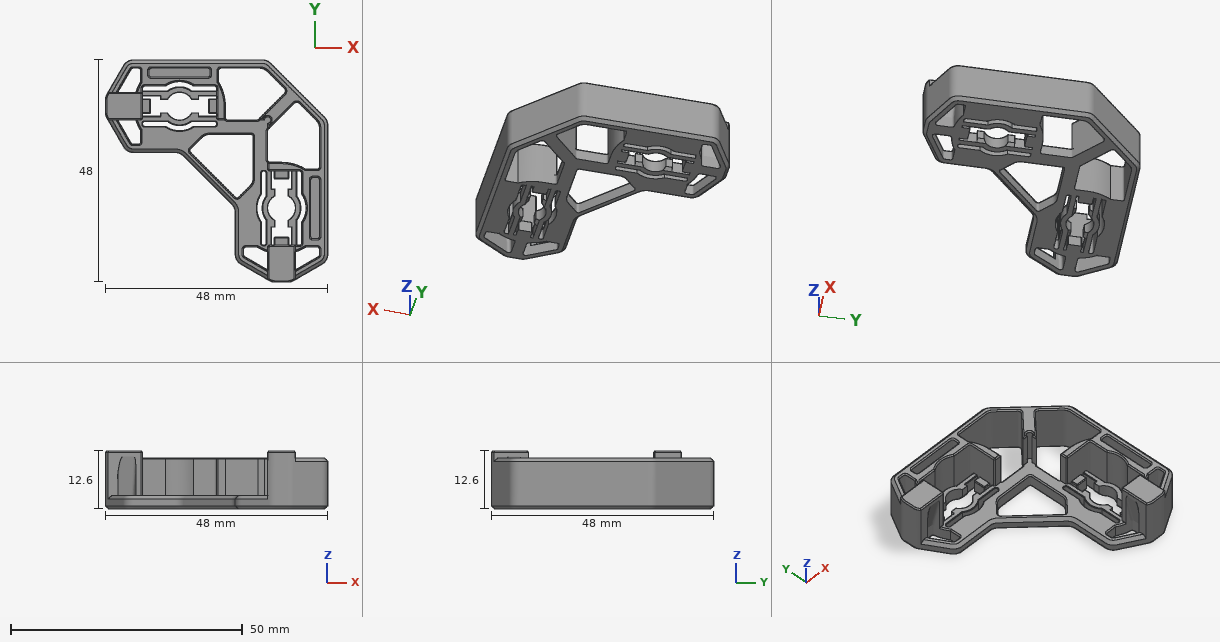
import cadquery as cq
import math

SPAN = 48.0
HALF = SPAN / 2
DECK_TOP = 3.0
WALL_TOP = 11.1
POST_TOP = 12.6

ARM_WIDTH = 20.0
ARM_INNER_Y = HALF - ARM_WIDTH
TIP_FLAT = 4.0
TIP_SLOPE = math.radians(60)
OUTER_BEVEL = 13.1
INNER_CORNER_X = -7.9
OUTLINE_RADIUS = 2.5

OUTER_CHAMFER = 0.75
INNER_CHAMFER = 0.3

SEAT_X = -8.0
SEAT_Y = HALF - ARM_WIDTH / 2
SEAT_LENGTH = 16.0
SEAT_LEFT = SEAT_X - SEAT_LENGTH / 2
SEAT_RIGHT = SEAT_X + SEAT_LENGTH / 2
SEAT_REACH = 4.35
SEAT_BULGE_RADIUS = 5.3
SEAT_CORNER_RADIUS = 0.5

CLEAR_EDGE = 11.0
RELIEF_RADIUS = 0.7

STRIP_INNER = 2.15
STRIP_OUTER = 3.3
STRIP_BULGE_RADIUS = 4.2
SLOT_OUTER = SEAT_REACH
SLOT_BULGE_RADIUS = SEAT_BULGE_RADIUS
SLOT_CORNER_RADIUS = 0.45
SLOT_CHAMFER = 0.15
NECK_HALF_WIDTH = 1.45
NECK_HALF_LENGTH = 4.1
BORE_RADIUS = 3.0

TAB_LENGTH = 1.75
TAB_WIDTH = 3.2
TAB_TOP = DECK_TOP
TAB_CHAMFER = 0.2

WALL = 1.8
BEVEL_WALL = 1.73
OPENING_RADIUS = 0.5
OPENING_BEVEL_RADIUS = 2.5
END_WALL_RADIUS = 9.9
OPENING_OFFSET = 8.4
RIB_WIDTH = 3.0
RIB_RADIUS = 0.8

WINDOW_EDGE = 7.9
WINDOW_BEVEL = 10.4
WINDOW_SIDE_SUM = -1.6
WINDOW_BEVEL_RADIUS = 2.5

POCKET_LENGTH = 13.2
POCKET_WIDTH = 1.9

POST_WIDTH = 6.0
HOLLOW_TOP = 11.3
HOLLOW_DEPTH = 1.7
HOLLOW_RADIUS = 0.6
HOLLOW_START = DECK_TOP

CUT_MARGIN = 2.0
SAME_PLACE = 0.05


def prism(points, bottom, top):
    return cq.Workplane("XY").workplane(offset=bottom).polyline(points).close().extrude(top - bottom)


def box(x0, x1, y0, y1, z0, z1):
    return cq.Workplane("XY").box(x1 - x0, y1 - y0, z1 - z0, centered=False).translate((x0, y0, z0))


def disc(x, y, radius, bottom, top):
    return cq.Workplane("XY").workplane(offset=bottom).center(x, y).circle(radius).extrude(top - bottom)


def with_mirror(body):
    """A body of the arm along X together with its twin in the arm along Y."""
    return body.union(body.mirror((1, -1, 0)))


def flared(cutter, level, width):
    """An upright cutter widened at 45 degrees just below `level`, which chamfers the rim it leaves."""
    rise = cq.Vector(0, 0, width)
    body = cutter
    for face in cutter.faces("<Z").vals():
        start = face.moved(cq.Location((0, 0, level - width - face.Center().z)))
        body = body.union(cq.Workplane(cq.Solid.extrudeLinear(start.outerWire(), [], rise, -45)))
    return body


def outline_prism(top):
    """The L-shaped outline with rounded corners, from Z = 0 up to `top`."""
    slope_run = (ARM_WIDTH - TIP_FLAT) / 2 / math.tan(TIP_SLOPE)
    shoulder_x = slope_run - HALF
    half_outline = [
        (INNER_CORNER_X, ARM_INNER_Y),
        (shoulder_x, ARM_INNER_Y),
        (-HALF, SEAT_Y - TIP_FLAT / 2),
        (-HALF, SEAT_Y + TIP_FLAT / 2),
        (shoulder_x, HALF),
        (HALF - OUTER_BEVEL, HALF),
    ]
    other_half = [(y, x) for x, y in half_outline]
    points = half_outline[::-1] + other_half
    return prism(points, 0, top).edges("|Z").fillet(OUTLINE_RADIUS)


def bevelled_frame(top):
    """The outline as a plate with its outer edges chamfered above and below."""
    return outline_prism(top).faces("<Z or >Z").edges().chamfer(OUTER_CHAMFER)


def round_corners(body, radius, sharp_points):
    """Round the vertical edges of a body, except those standing at the given points."""

    def is_rounded(edge):
        place = edge.Center()
        return all(math.hypot(place.x - x, place.y - y) > SAME_PLACE for x, y in sharp_points)

    return body.edges("|Z").filter(is_rounded).fillet(radius)


def round_corners_at(body, radius, point):
    """Round the one vertical edge that stands nearest to a point."""
    selector = cq.selectors.NearestToPointSelector((point[0], point[1], WALL_TOP / 2))
    return body.edges("|Z").edges(selector).fillet(radius)


def end_wall_kink(side):
    """Where the round end wall of the seat meets the straight side of an opening."""
    rise = math.sqrt(END_WALL_RADIUS**2 - OPENING_OFFSET**2)
    return SEAT_X + side * OPENING_OFFSET, SEAT_Y + rise


def bevel_opening(bottom_y):
    """The opening between seat, outer bevel and diagonal rib."""
    rib_offset = RIB_WIDTH / math.sqrt(2)
    wall_sum = 2 * HALF - OUTER_BEVEL - BEVEL_WALL * math.sqrt(2)
    top_y = HALF - WALL
    left_x = SEAT_X + OPENING_OFFSET
    bevel_corner = (wall_sum - top_y, top_y)
    rib_corner = ((wall_sum - rib_offset) / 2, (wall_sum + rib_offset) / 2)
    points = [
        (left_x, bottom_y),
        (left_x, top_y),
        bevel_corner,
        rib_corner,
        (bottom_y - rib_offset, bottom_y),
    ]
    wall_x = SEAT_X + END_WALL_RADIUS
    body = prism(points, 0, WALL_TOP)
    body = body.cut(disc(SEAT_X, SEAT_Y, END_WALL_RADIUS, 0, WALL_TOP))
    body = body.cut(box(SEAT_X, wall_x, bottom_y, SEAT_Y, 0, WALL_TOP))
    sharp = [end_wall_kink(1), (wall_x, SEAT_Y), bevel_corner, rib_corner]
    body = round_corners(body, OPENING_RADIUS, sharp)
    body = round_corners_at(body, OPENING_BEVEL_RADIUS, bevel_corner)
    return round_corners_at(body, RIB_RADIUS, rib_corner)


def tip_opening_raw(top):
    """The upper opening beside the end post, with its end inside the post still sharp."""
    end_y = SEAT_Y + POST_WIDTH / 2 - HOLLOW_DEPTH
    top_y = HALF - WALL
    wall_shift = WALL / math.sin(TIP_SLOPE)
    right_x = SEAT_X - OPENING_OFFSET

    def slope_x(y):
        return -HALF + wall_shift + (y - SEAT_Y - TIP_FLAT / 2) / math.tan(TIP_SLOPE)

    points = [
        (slope_x(end_y), end_y),
        (slope_x(top_y), top_y),
        (right_x, top_y),
        (right_x, end_y),
    ]
    return prism(points, 0, top).cut(disc(SEAT_X, SEAT_Y, END_WALL_RADIUS, 0, top))


def across_arm(body):
    """Mirror a body across the centre line of the arm along X."""
    return body.mirror("XZ", (0, SEAT_Y, 0))


def tip_openings(level):
    """Both openings beside the end post, with their rims chamfered at `level`."""
    upper = round_corners(tip_opening_raw(level), OPENING_RADIUS, [end_wall_kink(-1)])
    upper = flared(upper, level, INNER_CHAMFER)
    return upper.union(across_arm(upper))


def post_hollows():
    """Pockets in both sides of the post: upright up to the deck, then fading out towards the top."""
    face_y = SEAT_Y + POST_WIDTH / 2
    deep_y = face_y - HOLLOW_DEPTH
    slope = HOLLOW_DEPTH / (HOLLOW_TOP - HOLLOW_START)
    top_y = deep_y + slope * (POST_TOP - HOLLOW_START)
    roof = (
        cq.Workplane("YZ", origin=(-HALF, 0, 0))
        .polyline([(deep_y, HOLLOW_START), (top_y, POST_TOP), (deep_y, POST_TOP)])
        .close()
        .extrude(HALF)
    )
    hollow = tip_opening_raw(POST_TOP).cut(roof)

    def is_side_of_end(edge):
        ends = [edge.startPoint(), edge.endPoint()]
        is_on_end = max(point.y for point in ends) < top_y + SAME_PLACE
        is_rising = abs(ends[0].z - ends[1].z) > SAME_PLACE
        return is_on_end and is_rising

    hollow = hollow.edges().filter(is_side_of_end).fillet(HOLLOW_RADIUS)
    return hollow.union(across_arm(hollow))


def window():
    """The five-sided opening in the deck between the two arms."""
    bevel_start = WINDOW_EDGE - WINDOW_BEVEL
    side_x = (WINDOW_SIDE_SUM - WINDOW_BEVEL) / 2
    side_y = (WINDOW_SIDE_SUM + WINDOW_BEVEL) / 2
    bevels = [(bevel_start, WINDOW_EDGE), (WINDOW_EDGE, bevel_start)]
    points = [
        (side_x, side_y),
        bevels[0],
        (WINDOW_EDGE, WINDOW_EDGE),
        bevels[1],
        (side_y, side_x),
    ]
    body = round_corners(prism(points, 0, DECK_TOP), OPENING_RADIUS, bevels)
    for bevel in bevels:
        body = round_corners_at(body, WINDOW_BEVEL_RADIUS, bevel)
    return body


def seat_space():
    """The room above the deck for the part that sits in the arm."""
    back_y = SEAT_Y + SEAT_REACH
    room = box(SEAT_LEFT, SEAT_RIGHT, 0, back_y, 0, WALL_TOP)
    room = room.edges("|Z and >Y").fillet(SEAT_CORNER_RADIUS)
    mouth_y = CLEAR_EDGE + INNER_CHAMFER
    mouth = [
        (SEAT_LEFT - INNER_CHAMFER, CLEAR_EDGE),
        (SEAT_LEFT, mouth_y),
        (SEAT_RIGHT, mouth_y),
        (SEAT_RIGHT + INNER_CHAMFER, CLEAR_EDGE),
    ]
    room = room.union(prism(mouth, 0, WALL_TOP))
    return room.union(disc(SEAT_X, SEAT_Y, SEAT_BULGE_RADIUS, 0, WALL_TOP))


def corner_space():
    """The room above the deck inside the two arms, with a round relief at its corner."""
    room = box(-SPAN, CLEAR_EDGE, -SPAN, CLEAR_EDGE, 0, WALL_TOP)
    return room.union(disc(CLEAR_EDGE, CLEAR_EDGE, RELIEF_RADIUS, 0, WALL_TOP))


def outer_pocket():
    """The pocket in the outer wall, with its floor level with the deck."""
    x0 = SEAT_X - POCKET_LENGTH / 2
    y1 = HALF - WALL
    body = box(x0, x0 + POCKET_LENGTH, y1 - POCKET_WIDTH, y1, DECK_TOP, WALL_TOP)
    return body.edges("|Z").fillet(OPENING_RADIUS)


def frame_without(height, cutters):
    """The bevelled frame with cutters taken out of both arms."""
    body = bevelled_frame(height)
    for cutter in cutters:
        body = body.cut(with_mirror(cutter))
    return body


def seat_strip(half_width, bulge_radius, top):
    """A band along the seat centre line, bulging around the bore."""
    y0 = SEAT_Y - half_width
    band = box(SEAT_LEFT, SEAT_RIGHT, y0, SEAT_Y + half_width, 0, top)
    return band.union(disc(SEAT_X, SEAT_Y, bulge_radius, 0, top))


def spring_slots():
    """The two slots outside the strips; the one away from the wall has round ends."""
    slots = seat_strip(SLOT_OUTER, SLOT_BULGE_RADIUS, DECK_TOP)
    slots = slots.cut(seat_strip(STRIP_OUTER, STRIP_BULGE_RADIUS, DECK_TOP))
    open_ends = slots.edges("|Z and (<X or >X)").filter(lambda edge: edge.Center().y < SEAT_Y)
    return flared(open_ends.fillet(SLOT_CORNER_RADIUS), DECK_TOP, SLOT_CHAMFER)


def seat_cutout():
    """The opening between the strips: wide at its ends, with a narrow neck and a bore in the middle."""
    y0 = SEAT_Y - NECK_HALF_WIDTH
    body = box(SEAT_LEFT, SEAT_RIGHT, y0, SEAT_Y + NECK_HALF_WIDTH, 0, DECK_TOP)
    body = body.union(disc(SEAT_X, SEAT_Y, BORE_RADIUS, 0, DECK_TOP))
    neck_left = SEAT_X - NECK_HALF_LENGTH
    neck_right = SEAT_X + NECK_HALF_LENGTH
    for x0, x1 in ((SEAT_LEFT, neck_left), (neck_right, SEAT_RIGHT)):
        wide_end = box(x0, x1, SEAT_Y - STRIP_INNER, SEAT_Y + STRIP_INNER, 0, DECK_TOP)
        rim = box(x0, x1, SEAT_Y - STRIP_OUTER, SEAT_Y + STRIP_OUTER, 0, DECK_TOP)
        body = body.union(flared(wide_end, DECK_TOP, SLOT_CHAMFER).intersect(rim))
    undercut = (
        cq.Workplane("YZ", origin=(neck_left, SEAT_Y, 0))
        .polyline([(-STRIP_INNER, 0), (STRIP_INNER, 0), (0, STRIP_INNER)])
        .close()
        .extrude(neck_right - neck_left)
    )
    return body.union(undercut)


def seat_tab(x0, root):
    """A tab joined to the seat end on its `root` side ("<" or ">" along X)."""
    y0 = SEAT_Y - TAB_WIDTH / 2
    tab = box(x0, x0 + TAB_LENGTH, y0, y0 + TAB_WIDTH, 0, TAB_TOP)
    tab = tab.edges(f"|Z and (not {root}X)").chamfer(TAB_CHAMFER)
    return tab.faces(">Z").edges(f"not {root}X").chamfer(TAB_CHAMFER)


def end_post():
    """The post that closes the tip of the arm and rises above the walls."""
    y0 = SEAT_Y - POST_WIDTH / 2
    body = outline_prism(POST_TOP).faces("<Z").edges().chamfer(OUTER_CHAMFER)
    body = body.intersect(box(-HALF, SEAT_LEFT, y0, y0 + POST_WIDTH, 0, POST_TOP))
    body = body.edges("|Z and >X and <Y").chamfer(INNER_CHAMFER)
    body = body.faces(">Z").edges().chamfer(INNER_CHAMFER)
    return body.cut(post_hollows())


deck = frame_without(
    DECK_TOP,
    [
        tip_openings(DECK_TOP),
        flared(bevel_opening(CLEAR_EDGE), DECK_TOP, INNER_CHAMFER),
        flared(window(), DECK_TOP, INNER_CHAMFER),
        spring_slots(),
        seat_cutout(),
    ],
)
wall_clearance = seat_space().union(bevel_opening(CLEAR_EDGE - CUT_MARGIN)).union(corner_space())
walls = frame_without(
    WALL_TOP,
    [
        tip_openings(WALL_TOP),
        flared(outer_pocket(), WALL_TOP, INNER_CHAMFER),
        flared(wall_clearance, WALL_TOP, INNER_CHAMFER),
    ],
)

result = walls.union(with_mirror(end_post())).union(deck)
result = result.union(with_mirror(seat_tab(SEAT_LEFT, "<")))
result = result.union(with_mirror(seat_tab(SEAT_RIGHT - TAB_LENGTH, ">")))